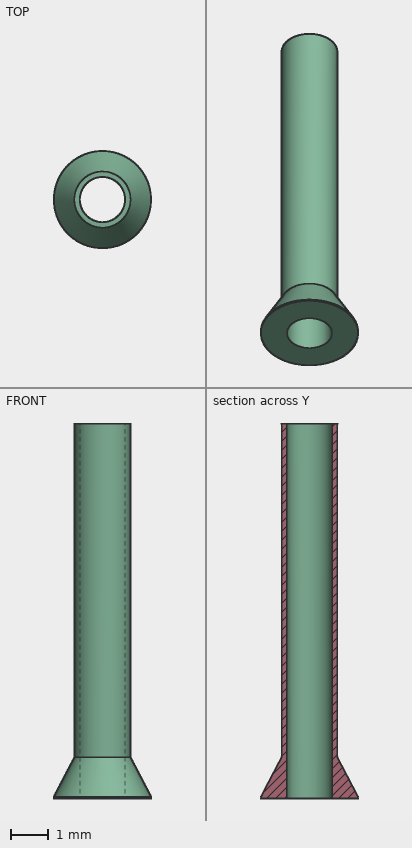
import cadquery as cq

total_height = 10.0
tube_diameter = 1.5
bore_diameter = 1.2

foot_diameter = 2.6
foot_height = 1.1
rim_height = 0.05

tube_radius = tube_diameter / 2
bore_radius = bore_diameter / 2
foot_radius = foot_diameter / 2

half_section = (
    cq.Workplane("XZ")
    .moveTo(bore_radius, 0)
    .lineTo(foot_radius, 0)
    .lineTo(foot_radius, rim_height)
    .lineTo(tube_radius, foot_height)
    .lineTo(tube_radius, total_height)
    .lineTo(bore_radius, total_height)
    .close()
)

result = half_section.revolve(360, (0, 0, 0), (0, 1, 0))